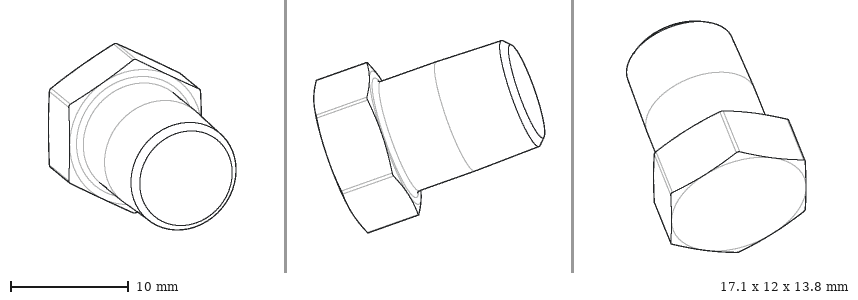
import cadquery as cq
import math

total_length = 17.1
head_length = 5.1
sides = 6
across_flats = 12.0
corner_radius = 0.3
head_bevel_angle = 15.0

shank_radius = 9.88 / 2
neck_radius = 0.45
taper_start = 10.62
taper_end_radius = 9.58 / 2
tip_chamfer = 0.58


def revolve_about_x(profile):
    return profile.close().revolve(360, (0, 0, 0), (1, 0, 0))


def make_head():
    """Hexagon with rounded corners, bevelled at both ends."""
    across_corners = across_flats / math.cos(math.radians(180 / sides))
    hexagon = (
        cq.Workplane("YZ")
        .transformed(rotate=(0, 0, 90))
        .polygon(sides, across_corners)
        .extrude(head_length)
        .edges("|X")
        .fillet(corner_radius)
    )

    face_radius = across_flats / 2
    outer_radius = across_corners / 2
    bevel_depth = (outer_radius - face_radius) * math.tan(math.radians(head_bevel_angle))
    envelope = revolve_about_x(
        cq.Workplane("XY")
        .lineTo(0, face_radius)
        .lineTo(bevel_depth, outer_radius)
        .lineTo(head_length - bevel_depth, outer_radius)
        .lineTo(head_length, face_radius)
        .lineTo(head_length, 0)
    )
    return hexagon.intersect(envelope)


def make_shank():
    """Blended neck, straight length, slight taper and chamfered tip."""
    chamfer_start = total_length - tip_chamfer
    arc_middle = neck_radius * (1 - math.sqrt(0.5))
    return revolve_about_x(
        cq.Workplane("XY")
        .moveTo(head_length, 0)
        .lineTo(head_length, shank_radius + neck_radius)
        .threePointArc(
            (head_length + arc_middle, shank_radius + arc_middle),
            (head_length + neck_radius, shank_radius),
        )
        .lineTo(taper_start, shank_radius)
        .lineTo(chamfer_start, taper_end_radius)
        .lineTo(total_length, taper_end_radius - tip_chamfer)
        .lineTo(total_length, 0)
    )


result = make_head().union(make_shank())